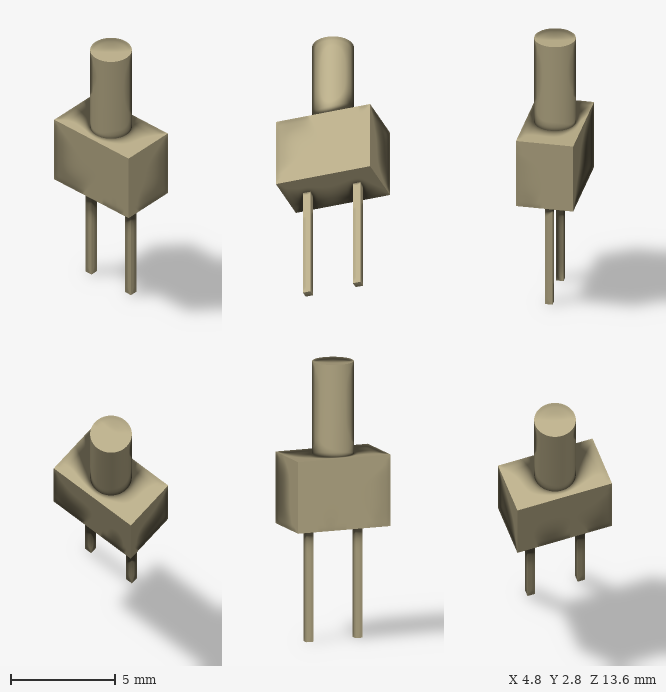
import cadquery as cq

total_height = 13.6
body_length = 4.8
body_width = 2.8

body_height = 3.5
pin_length = 5.6
post_height = total_height - body_height - pin_length

post_diameter = 2.0

pin_side = 0.38
pin_pitch = 2.55

body = cq.Workplane("XY").box(body_length, body_width, body_height, centered=(True, True, False))

post = cq.Workplane("XY").workplane(offset=body_height).circle(post_diameter / 2).extrude(post_height)

pins = (
    cq.Workplane("XY")
    .pushPoints([(-pin_pitch / 2, 0), (pin_pitch / 2, 0)])
    .rect(pin_side, pin_side)
    .extrude(-pin_length)
)

result = body.union(post).union(pins)